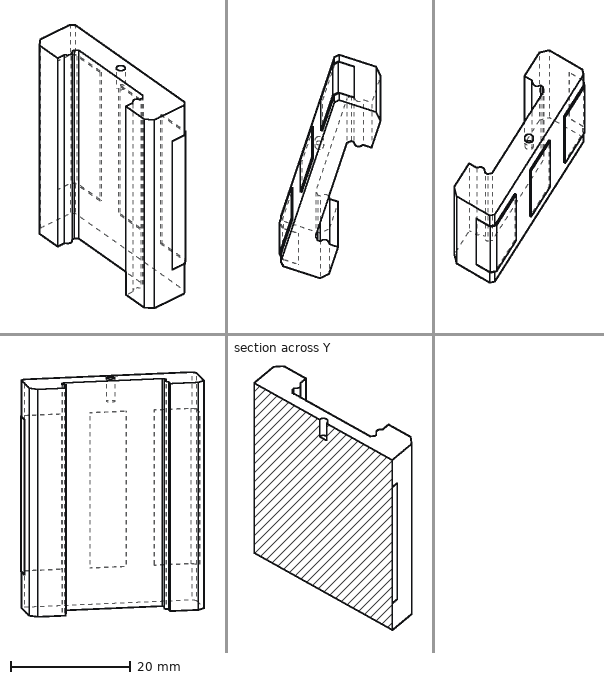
import cadquery as cq
import math

length = 39.0
overall_width = 30.0
overall_depth = 8.6

pad_side_height = 0.05
pad_back_height = 0.27
pad_length = 26.6
pad_chamfer = 0.75
side_pad_front = 5.07
side_pad_inner_half_width = 7.9
middle_pad_half_width = 3.1

body_half_width = overall_width / 2 - pad_side_height
body_depth = overall_depth - pad_back_height
back_chamfer = 0.62
front_chamfer = 1.2

channel_half_width = 8.95
channel_depth = 4.17
channel_corner_chamfer = 0.55

ridge_height = 0.55
ridge_center = 2.35
ridge_tip_radius = 1.5 / 2
tip_half_width = ridge_tip_radius * math.sin(math.radians(45))
tip_height = ridge_tip_radius * (1 - math.cos(math.radians(45)))
flank_height = ridge_height - tip_height
ridge_half_width = tip_half_width + flank_height

hole_diameter = 1.5
hole_depth = 3.9
hole_y = 6.3


def make_body():
    """Extrude the C-shaped section along Z; the front face lies on Y = 0."""
    flank_end_x = channel_half_width - flank_height
    half = (
        cq.Workplane("XY")
        .moveTo(0, body_depth)
        .lineTo(body_half_width - back_chamfer, body_depth)
        .lineTo(body_half_width, body_depth - back_chamfer)
        .lineTo(body_half_width, front_chamfer)
        .lineTo(body_half_width - front_chamfer, 0)
        .lineTo(channel_half_width, 0)
        .lineTo(channel_half_width, ridge_center - ridge_half_width)
        .lineTo(flank_end_x, ridge_center - tip_half_width)
        .threePointArc(
            (channel_half_width - ridge_height, ridge_center),
            (flank_end_x, ridge_center + tip_half_width),
        )
        .lineTo(channel_half_width, ridge_center + ridge_half_width)
        .lineTo(channel_half_width, channel_depth - channel_corner_chamfer)
        .lineTo(channel_half_width - channel_corner_chamfer, channel_depth)
        .lineTo(0, channel_depth)
        .close()
        .extrude(length)
    )
    return half.union(half.mirror("YZ"))


def make_side_pad():
    """Pad that wraps around the right back corner."""
    half_width = overall_width / 2
    outline = [
        (side_pad_inner_half_width, side_pad_front),
        (half_width, side_pad_front),
        (half_width, overall_depth - pad_chamfer),
        (half_width - pad_chamfer, overall_depth),
        (side_pad_inner_half_width, overall_depth),
    ]
    pad_bottom = (length - pad_length) / 2
    return cq.Workplane("XY", origin=(0, 0, pad_bottom)).polyline(outline).close().extrude(pad_length)


def make_middle_pad():
    """Flat pad along the middle of the back face."""
    return (
        cq.Workplane("XY", origin=(0, body_depth, length / 2))
        .box(2 * middle_pad_half_width, pad_back_height, pad_length, centered=(True, False, True))
    )


def make_hole():
    """Cylinder to remove from the top end."""
    return (
        cq.Workplane("XY", origin=(0, hole_y, length))
        .circle(hole_diameter / 2)
        .extrude(-hole_depth)
    )


side_pad = make_side_pad()
pads = side_pad.union(side_pad.mirror("YZ")).union(make_middle_pad())
result = make_body().union(pads).cut(make_hole())